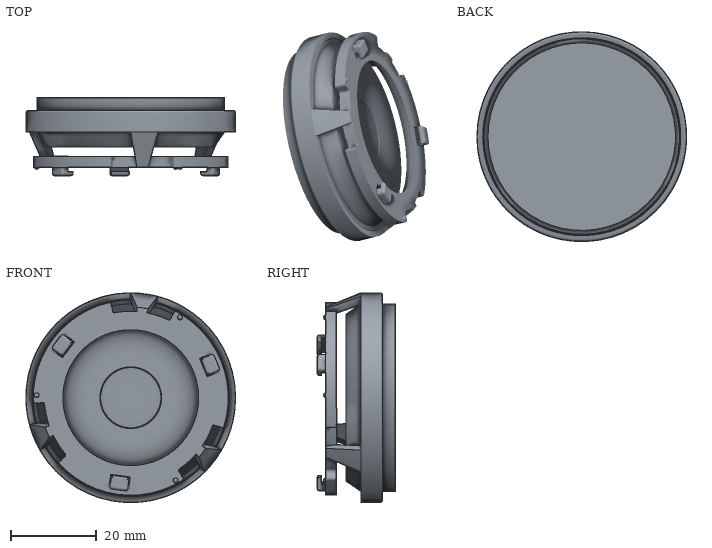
import cadquery as cq
import math


ring_back = 3.05
ring_thickness = 5.0
cone_length = 3.55
cone_to_plate_gap = 2.2
plate_thickness = 2.55
hook_height = 1.95
ring_front = ring_back + ring_thickness
cone_front = ring_front + cone_length
plate_back = cone_front + cone_to_plate_gap
plate_front = plate_back + plate_thickness
hook_front = plate_front + hook_height

ring_radius = 24.5
ring_bore_radius = 23.05
ring_fillet = 0.55
plate_radius = 22.75
plate_bore_radius = 15.85
plate_bore_flare = 32.0

feature_count = 3
pitch = 360 / feature_count
leg_angle = 82.5
hook_angle = leg_angle - pitch / 2
bump_angle = 58.5
pad_angle = leg_angle + pitch

leg_span = 15.0
leg_side_draft = 10.0
leg_tip_radius = 21.15
leg_radial_thickness = 2.0

notch_floor_radius = 20.2
notch_span = 38.6
notch_floor_fillet = 0.4
notch_mouth_fillet = 0.5

hook_width = 4.2
hook_inner_radius = 18.55
hook_post_radius = 20.05
hook_post_draft = 10.0
hook_outer_radius = 21.75
hook_lip_thickness = 1.0
hook_corner_fillet = 0.6
hook_front_fillet = 0.55
opening_clearance = 0.2

bump_radius = 0.6
bump_height = 0.45
bump_centre_radius = 22.0

pad_width = 9.3
pad_inner_radius = 17.75
pad_thickness = 0.15

insert_body_radius = 21.9
flange_radius = 22.85
cone_front_radius = 19.45
recess_radius = 7.2
recess_floor_radius = 7.05
recess_depth = 0.2


def plane_at(depth):
    """Sketch plane facing -Y, with local x along X and local y along Z."""
    return cq.Workplane("XZ").workplane(offset=depth)


def spin(profile):
    """Revolve a list of (radius, depth) points about the axis."""
    points = [(radius, -depth) for radius, depth in profile]
    return cq.Workplane("XY").polyline(points).close().revolve(360, (0, 0, 0), (0, 1, 0))


def turned(shape, angle):
    """Turn a shape from +X towards +Z."""
    return shape.rotate((0, 0, 0), (0, -1, 0), angle)


def radial_block(inner, outer, width, back, front):
    """Box centred on the +X direction between two radii and two depths."""
    return (
        plane_at(back)
        .center((inner + outer) / 2, 0)
        .rect(outer - inner, width)
        .extrude(front - back)
    )


def sector(span, reach, back, front, draft=0):
    """Wedge from the axis outwards, centred on +X, with optional side draft."""
    half_width = reach * math.tan(math.radians(span / 2))
    return (
        plane_at(back)
        .polyline([(0, 0), (reach, -half_width), (reach, half_width)])
        .close()
        .extrude(front - back, taper=draft)
    )


def make_ring():
    ring = plane_at(ring_back).circle(ring_radius).extrude(ring_thickness)
    ring = ring.faces(">Y").edges().fillet(ring_fillet)
    bore = plane_at(ring_back).circle(ring_bore_radius).extrude(ring_thickness)
    return ring.cut(bore)


def make_notch():
    wedge = sector(notch_span, 2 * plate_radius, plate_back, plate_front)
    core = plane_at(plate_back).circle(notch_floor_radius).extrude(plate_thickness)
    return wedge.cut(core)


def near_radius(radius):
    """Select edges whose centre lies close to the given radius."""
    tolerance = 0.25

    def keep(edge):
        centre = edge.Center()
        return abs(math.hypot(centre.x, centre.z) - radius) < tolerance

    return keep


def make_plate():
    plate = plane_at(plate_back).circle(plate_radius).extrude(plate_thickness)
    for i in range(feature_count):
        plate = plate.cut(turned(make_notch(), leg_angle + i * pitch))
    plate = plate.edges("|Y").filter(near_radius(notch_floor_radius)).fillet(notch_floor_fillet)
    plate = plate.edges("|Y").filter(near_radius(plate_radius)).fillet(notch_mouth_fillet)
    bore_back_radius = plate_bore_radius + plate_thickness * math.tan(math.radians(plate_bore_flare))
    bore = spin([
        (0, plate_back),
        (bore_back_radius, plate_back),
        (plate_bore_radius, plate_front),
        (0, plate_front),
    ])
    return plate.cut(bore)


def make_leg():
    shell = spin([
        (ring_radius, ring_front),
        (leg_tip_radius, plate_front),
        (leg_tip_radius - leg_radial_thickness, plate_front),
        (ring_radius - leg_radial_thickness, ring_front),
    ])
    wedge = sector(leg_span, 2 * ring_radius, ring_front, plate_front, leg_side_draft)
    return shell.intersect(wedge)


def make_hook():
    hook = radial_block(hook_inner_radius, hook_outer_radius, hook_width, plate_front, hook_front)
    hook = hook.edges("|Y and >X").fillet(hook_corner_fillet)
    return hook.faces("<Y").edges().fillet(hook_front_fillet)


def make_hook_opening():
    """Opening through the plate and below the lip, with a sloped wall at the post."""
    lip_back = hook_front - hook_lip_thickness
    inner_radius = hook_inner_radius - opening_clearance
    back_radius = hook_post_radius + (lip_back - plate_back) * math.tan(math.radians(hook_post_draft))
    width = hook_width + 2 * opening_clearance
    profile = [
        (inner_radius, -plate_back),
        (back_radius, -plate_back),
        (hook_post_radius, -lip_back),
        (inner_radius, -lip_back),
    ]
    return cq.Workplane("XY").polyline(profile).close().extrude(width / 2, both=True)


def make_bump():
    depth = plate_front + bump_height - bump_radius
    return cq.Workplane("XY").sphere(bump_radius).translate((bump_centre_radius, -depth, 0))


def make_pad():
    block = radial_block(
        pad_inner_radius, ring_radius, pad_width, plate_back - pad_thickness, plate_back
    )
    limit = plane_at(plate_back - pad_thickness).circle(notch_floor_radius).extrude(pad_thickness)
    return block.intersect(limit)


def make_frame():
    frame = make_ring().union(make_plate())
    for i in range(feature_count):
        frame = frame.union(turned(make_leg(), leg_angle + i * pitch))
        frame = frame.union(turned(make_hook(), hook_angle + i * pitch))
        frame = frame.cut(turned(make_hook_opening(), hook_angle + i * pitch))
        frame = frame.union(turned(make_bump(), bump_angle + i * pitch))
    return frame.union(turned(make_pad(), pad_angle))


def make_insert():
    return spin([
        (0, 0),
        (insert_body_radius, 0),
        (insert_body_radius, ring_back),
        (flange_radius, ring_back),
        (flange_radius, ring_front),
        (insert_body_radius, ring_front),
        (cone_front_radius, cone_front),
        (recess_radius, cone_front),
        (recess_floor_radius, cone_front - recess_depth),
        (0, cone_front - recess_depth),
    ])


frame = make_frame()
insert = make_insert()

result = cq.Compound.makeCompound([frame.val(), insert.val()])